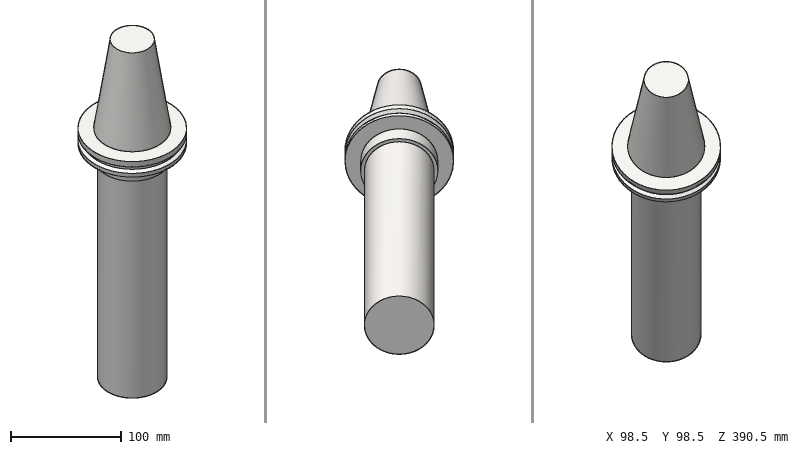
import cadquery as cq

total_height = 390.5

taper_length = 101.5
taper_tip_diameter = 40.2
gauge_diameter = 70.0
collar_height = 1.0

flange_diameter = 98.5
flange_height = 18.0
groove_floor_diameter = 91.5
upper_rim_height = 6.2
lower_rim_height = 4.3
groove_wall_height = 2.0

hub_height = 16.0
body_diameter = 63.3

taper_base_z = total_height - taper_length
flange_top_z = taper_base_z - collar_height
flange_bottom_z = flange_top_z - flange_height
hub_bottom_z = flange_bottom_z - hub_height
groove_top_z = flange_top_z - upper_rim_height
groove_bottom_z = flange_bottom_z + lower_rim_height

tip_radius = taper_tip_diameter / 2
gauge_radius = gauge_diameter / 2
flange_radius = flange_diameter / 2
groove_radius = groove_floor_diameter / 2
body_radius = body_diameter / 2

half_section = [
    (0, 0),
    (body_radius, 0),
    (body_radius, hub_bottom_z),
    (gauge_radius, hub_bottom_z),
    (gauge_radius, flange_bottom_z),
    (flange_radius, flange_bottom_z),
    (flange_radius, groove_bottom_z),
    (groove_radius, groove_bottom_z + groove_wall_height),
    (groove_radius, groove_top_z - groove_wall_height),
    (flange_radius, groove_top_z),
    (flange_radius, flange_top_z),
    (gauge_radius, flange_top_z),
    (gauge_radius, taper_base_z),
    (tip_radius, total_height),
    (0, total_height),
]

result = (
    cq.Workplane("XZ")
    .polyline(half_section)
    .close()
    .revolve(360, (0, 0, 0), (0, 1, 0))
)